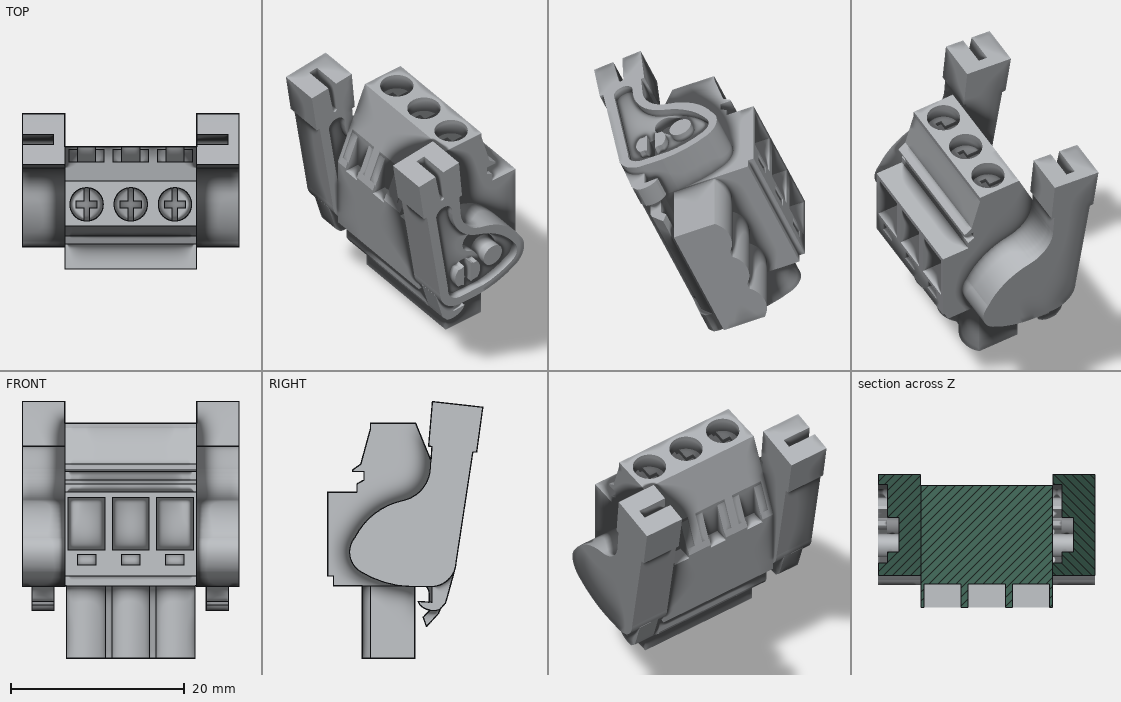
import cadquery as cq
import math


pole_count = 3
pole_pitch = 5.08
pole_positions = [(i - (pole_count - 1) / 2) * pole_pitch for i in range(pole_count)]

housing_width = 15.2
housing_bottom = 8.35
housing_top = 27.08
housing_back = 14.1
shoulder_height = 19.13
roof_back = 10.15
back_wall_top = 17.4

plug_width = 14.85
plug_back = 10.05
plug_front = 4.95
bulge_front = 4.0
groove_width = 0.77

latch_bottom = 3.65

screw_y = 7.45
screw_diameter = 3.85
screw_recess = 2.0
screw_length = 3.55
cross_depth = 0.6
cross_long_width = 0.62
cross_short_length = 2.45
cross_short_width = 0.8

wire_width = 4.23
wire_bottom = 12.47
wire_top = 18.5
wire_depth = 2.7
test_width = 2.13
test_bottom = 10.73
test_top = 11.97
test_depth = 0.53

rear_window_width = 4.05
rear_window_front = 12.33
rear_window_back = 13.77
rear_window_depth = 0.45
rear_notch_width = 2.1
rear_notch_floor = 17.0

lever_width = 4.88
lever_top = 29.55
lever_bottom = 8.25
lever_pocket_depth = 1.03
lever_recess_depth = 2.36
pocket_bottom = 9.3
grip_slot_length = 3.58
hook_inset = 1.1
hook_width = 2.57

pivot_y = 10.8
pivot_z = 12.18
pivot_radius = 1.48
lip_radius = 1.83
lip_height = 2.42
split_width = 1.0
guide_radius = 3.78
guide_half_width = 1.33
guide_start_angle = 166.0
guide_end_angle = 111.6


def block(x_range, y_range, z_range):
    """Box between two corners given as ranges along X, Y and Z."""
    size = [high - low for low, high in (x_range, y_range, z_range)]
    return cq.Workplane("XY").box(*size, centered=False).translate((x_range[0], y_range[0], z_range[0]))


def span(center, width):
    return (center - width / 2, center + width / 2)


def housing_shell():
    """Side profile with the roof, the small front lip and the foot step."""
    profile = [
        (0.68, housing_bottom),
        (0.68, 9.45),
        (0, 9.45),
        (0, shoulder_height),
        (3.37, shoulder_height),
        (3.37, 20.07),
        (4.17, 20.5),
        (4.17, 21.5),
        (2.9, 21.5),
        (2.9, 21.7),
        (3.8, 22.35),
        (4.95, 26.45),
        (4.95, housing_top),
        (roof_back, housing_top),
        (housing_back, back_wall_top),
        (housing_back, housing_bottom),
    ]
    return cq.Workplane("YZ").polyline(profile).close().extrude(housing_width / 2, both=True)


def plug():
    """Plug-in part below the housing: a rounded bulge for each pole with flat grooves between them."""
    half = plug_width / 2
    bulge_edges = [-half]
    for x in pole_positions[:-1]:
        bulge_edges.extend(span(x + pole_pitch / 2, groove_width))
    bulge_edges.append(half)

    outline = cq.Workplane("XY").moveTo(-half, plug_back)
    for i, x in enumerate(pole_positions):
        left, right = bulge_edges[2 * i : 2 * i + 2]
        outline = outline.lineTo(left, plug_front).threePointArc((x, bulge_front), (right, plug_front))
    return outline.lineTo(half, plug_back).close().extrude(housing_bottom)


def latch_arm():
    """Snap arm behind the plug with a beak at its lower end."""
    return (
        cq.Workplane("YZ")
        .moveTo(12.98, housing_bottom)
        .lineTo(12.98, 5.65)
        .lineTo(12.77, 5.15)
        .lineTo(11.38, latch_bottom)
        .lineTo(11.0, 4.73)
        .lineTo(11.68, 5.45)
        .lineTo(11.68, 7.45)
        .threePointArc((11.55, 7.98), (11.25, housing_bottom))
        .close()
        .extrude(plug_width / 2, both=True)
    )


def rear_window(x):
    """Shallow window in the sloping back with a deeper flat-floored notch in its middle."""
    slope = (back_wall_top - housing_top) / (housing_back - roof_back)

    def slope_height(y):
        return housing_top + slope * (y - roof_back)

    corners = [
        (rear_window_front, slope_height(rear_window_front) - rear_window_depth),
        (rear_window_back, slope_height(rear_window_back) - rear_window_depth),
        (rear_window_back, housing_top),
        (rear_window_front, housing_top),
    ]
    window = cq.Workplane("YZ").polyline(corners).close().extrude(rear_window_width / 2, both=True)
    notch = block(
        span(x, rear_notch_width),
        (rear_window_front, housing_back),
        (rear_notch_floor, housing_top),
    )
    return window.translate((x, 0, 0)).union(notch)


def screw_hole(x):
    depth = screw_recess + screw_length
    return (
        cq.Workplane("XY")
        .center(x, screw_y)
        .circle(screw_diameter / 2)
        .extrude(depth)
        .translate((0, 0, housing_top - depth))
    )


def make_housing():
    body = housing_shell().union(plug()).union(latch_arm())
    for x in pole_positions:
        body = body.cut(screw_hole(x))
        body = body.cut(block(span(x, wire_width), (0, wire_depth), (wire_bottom, wire_top)))
        body = body.cut(block(span(x, test_width), (0, test_depth), (test_bottom, test_top)))
        body = body.cut(rear_window(x))
    return body


def make_screw(x):
    """Cylindrical screw with a cross recess, sunk below the roof."""
    top = housing_top - screw_recess
    recess_range = (top - cross_depth, top)
    body = (
        cq.Workplane("XY")
        .center(x, screw_y)
        .circle(screw_diameter / 2)
        .extrude(screw_length)
        .translate((0, 0, top - screw_length))
    )
    long_slot = block(span(x, cross_long_width), span(screw_y, screw_diameter), recess_range)
    short_slot = block(span(x, cross_short_length), span(screw_y, cross_short_width), recess_range)
    return body.cut(long_slot).cut(short_slot)


def lever_plate():
    return (
        cq.Workplane("YZ")
        .moveTo(17.88, 28.9)
        .lineTo(12.05, lever_top)
        .lineTo(11.62, 24.42)
        .lineTo(12.0, 24.35)
        .lineTo(11.82, 21.8)
        .tangentArcPoint((8.65, 18.15), relative=False)
        .tangentArcPoint((3.15, 13.92), relative=False)
        .threePointArc((2.55, 12.2), (3.8, 9.95))
        .tangentArcPoint((9.4, lever_bottom), relative=False)
        .lineTo(11.88, lever_bottom)
        .tangentArcPoint((14.8, 11.08), relative=False)
        .lineTo(16.73, 23.75)
        .lineTo(17.17, 23.75)
        .close()
        .extrude(lever_width)
    )


def lever_pocket():
    return (
        cq.Workplane("YZ")
        .moveTo(15.4, 23.0)
        .threePointArc((14.25, 24.0), (13.07, 22.82))
        .lineTo(13.05, 22.23)
        .tangentArcPoint((9.2, 17.3), relative=False)
        .tangentArcPoint((3.75, 12.9), relative=False)
        .tangentArcPoint((4.5, 10.73), relative=False)
        .threePointArc((6.27, 9.87), (8.57, pocket_bottom))
        .lineTo(11.88, pocket_bottom)
        .tangentArcPoint((13.63, 11.23), relative=False)
        .close()
        .extrude(lever_pocket_depth)
    )


def grip_slot():
    """Tapering slot in the top of the grip, open towards the outer face."""
    return (
        cq.Workplane("YZ")
        .moveTo(15.55, lever_top)
        .lineTo(14.78, 25.35)
        .threePointArc((14.48, 25.15), (14.22, 25.35))
        .lineTo(14.37, lever_top)
        .close()
        .extrude(grip_slot_length)
    )


def hook():
    """Catch below the lever that reaches forward under the housing."""
    return (
        cq.Workplane("YZ")
        .moveTo(14.63, 10.1)
        .lineTo(13.75, 6.9)
        .lineTo(13.57, 6.33)
        .lineTo(12.92, 5.62)
        .threePointArc((11.3, 5.68), (10.6, 6.15))
        .lineTo(10.4, 6.55)
        .lineTo(12.03, 6.45)
        .lineTo(12.03, 9.45)
        .close()
        .extrude(hook_width)
        .translate((hook_inset, 0, 0))
    )


def guide_point(radius, angle):
    """Point (Y, Z) on a circle around the pivot."""
    turn = math.radians(angle)
    return (pivot_y + radius * math.cos(turn), pivot_z + radius * math.sin(turn))


def guide_slot():
    """Curved slot around the pivot, as deep as the lever recess."""
    inner = guide_radius - guide_half_width
    outer = guide_radius + guide_half_width
    middle_angle = (guide_start_angle + guide_end_angle) / 2
    track = (
        cq.Workplane("YZ")
        .moveTo(*guide_point(inner, guide_start_angle))
        .threePointArc(guide_point(inner, middle_angle), guide_point(inner, guide_end_angle))
        .lineTo(*guide_point(outer, guide_end_angle))
        .threePointArc(guide_point(outer, middle_angle), guide_point(outer, guide_start_angle))
        .close()
        .extrude(lever_recess_depth)
    )
    end = (
        cq.Workplane("YZ")
        .center(*guide_point(guide_radius, guide_end_angle))
        .circle(guide_half_width)
        .extrude(lever_recess_depth)
    )
    return track.union(end)


def guide_pin():
    """Round pin at the lower end of the curved slot, flush with the outer face."""
    return (
        cq.Workplane("YZ")
        .center(*guide_point(guide_radius, guide_start_angle))
        .circle(guide_half_width)
        .extrude(lever_recess_depth)
    )


def pivot_post():
    """Round post with a flattened snap lip, flush with the outer face."""
    post = cq.Workplane("YZ").circle(pivot_radius).extrude(lever_pocket_depth)
    lip = cq.Workplane("YZ").circle(lip_radius).extrude(lever_pocket_depth)
    lip_band = cq.Workplane("YZ").rect(2 * lip_radius, lip_height).extrude(lever_pocket_depth)
    return post.union(lip.intersect(lip_band)).translate((0, pivot_y, pivot_z))


def pivot_split():
    """Gap between the two halves of the post, reaching below the pocket floor."""
    core = cq.Workplane("YZ").circle(pivot_radius).extrude(lever_recess_depth)
    gap = cq.Workplane("YZ").rect(split_width, 2 * pivot_radius).extrude(lever_recess_depth)
    return core.intersect(gap).translate((0, pivot_y, pivot_z))


def make_lever(outer_face_x):
    body = lever_plate().cut(lever_pocket()).cut(grip_slot()).union(hook())
    body = body.cut(guide_slot()).union(guide_pin())
    body = body.union(pivot_post()).cut(pivot_split())
    return body.translate((outer_face_x, 0, 0))


housing = make_housing()
screws = [make_screw(x) for x in pole_positions]
levers = [make_lever(x) for x in (-housing_width / 2 - lever_width, housing_width / 2)]

result = cq.Compound.makeCompound(
    [housing.val(), *[screw.val() for screw in screws], *[lever.val() for lever in levers]]
)